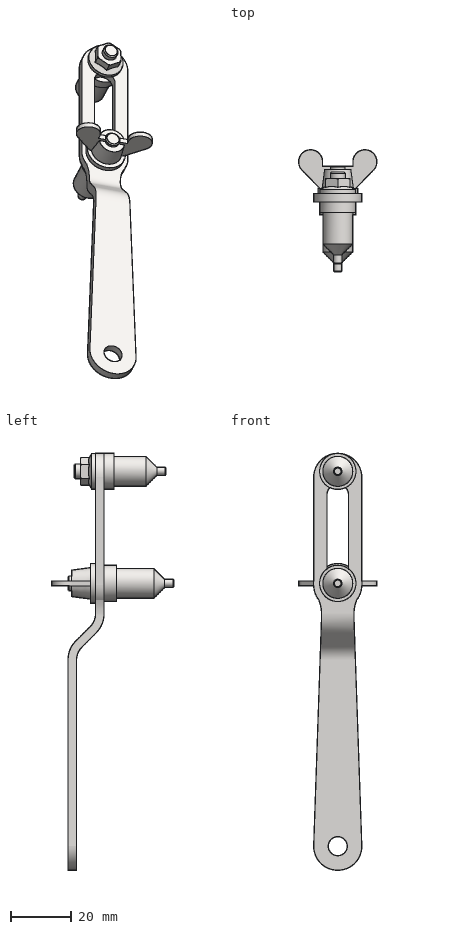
import cadquery as cq
import math


total_height = 138.0
thickness = 2.9
end_radius = 8.0
grip_hole_diameter = 6.2
offset = 9.1
bend_angle = math.radians(45)
bend_inner_radius = 6.0
bend_outer_radius = bend_inner_radius + thickness
bend_top_z = 84.9
waist_half_width = 5.4
waist_z = 84.2
shoulder_arc_z = 94.4
shoulder_z = 89.4
slot_width = 7.0
slot_top_z = 127.8

collar_diameter = 12.0
barrel_diameter = 10.0
tip_diameter = 2.8
tip_length = 3.0
tip_chamfer = 0.3
stud_diameter = 5.0
stud_chamfer = 0.4
cone_length = (barrel_diameter - tip_diameter) / 2

upper_pin_z = total_height - collar_diameter / 2
upper_collar_length = 3.3
upper_barrel_end = 13.8
upper_stud_end = 10.0

lower_pin_z = 94.9
lower_collar_length = 4.1
lower_barrel_end = 16.4
lower_stud_end = 12.0
slot_key_depth = 2.1

nut_height = 5.0
nut_across_flats = 8.0
nut_across_corners = nut_across_flats / math.cos(math.pi / 6)
nut_corner_chamfer = 0.3
flange_diameter = 11.9
flange_rim_height = 1.2
flange_cone_angle = math.radians(30)

washer_diameter = 13.2
washer_thickness = 1.7
wing_hub_base_diameter = 10.5
wing_hub_top_diameter = 8.8
wing_hub_height = 6.2
wing_thickness = 1.7
wing_span = 26.0
wing_height = 12.8
wing_tip_radius = 4.0
wing_root_half_width = 6.0
wing_web_height = 7.3


def cylinder(diameter, z, y_start, y_end):
    """Round bar along Y on the centre plane x = 0."""
    plane = cq.Workplane(cq.Plane((0, y_start, z), (1, 0, 0), (0, 1, 0)))
    return plane.circle(diameter / 2).extrude(y_end - y_start)


def revolve_about_y(profile, z):
    """Turn a closed (radius, y) profile about the Y-parallel axis at height z."""
    outline = cq.Workplane("XY", origin=(0, 0, z)).polyline(profile).close()
    return outline.revolve(360, (0, 0, 0), (0, 1, 0))


def bent_strip():
    """Strip of constant thickness with two opposite bends, at the full handle width."""
    bend_tangents = (bend_inner_radius + bend_outer_radius) * math.tan(bend_angle / 2)
    bend_bottom_z = bend_top_z - bend_tangents - offset / math.tan(bend_angle)

    sin_bend = math.sin(bend_angle)
    cos_bend = math.cos(bend_angle)
    back_y = offset + thickness
    inner_rise = bend_inner_radius * sin_bend
    inner_run = bend_inner_radius * (1 - cos_bend)
    outer_rise = bend_outer_radius * sin_bend
    outer_run = bend_outer_radius * (1 - cos_bend)

    return (
        cq.Workplane("YZ")
        .moveTo(0, total_height)
        .lineTo(0, bend_top_z)
        .tangentArcPoint((outer_run, bend_top_z - outer_rise), relative=False)
        .lineTo(offset - inner_run, bend_bottom_z + inner_rise)
        .tangentArcPoint((offset, bend_bottom_z), relative=False)
        .lineTo(offset, 0)
        .lineTo(back_y, 0)
        .lineTo(back_y, bend_bottom_z)
        .tangentArcPoint((back_y - outer_run, bend_bottom_z + outer_rise), relative=False)
        .lineTo(thickness + inner_run, bend_top_z - inner_rise)
        .tangentArcPoint((thickness, bend_top_z), relative=False)
        .lineTo(thickness, total_height)
        .close()
        .extrude(end_radius, both=True)
    )


def handle_outline():
    """Front outline of the handle, extruded through the depth of both bends."""
    top_arc_z = total_height - end_radius
    shoulder_x = math.sqrt(end_radius**2 - (shoulder_arc_z - shoulder_z)**2)
    shoulder_mid_angle = math.asin((shoulder_arc_z - shoulder_z) / end_radius) / 2
    shoulder_mid_x = end_radius * math.cos(shoulder_mid_angle)
    shoulder_mid_z = shoulder_arc_z - end_radius * math.sin(shoulder_mid_angle)
    half_outline = (
        cq.Workplane("XZ", origin=(0, offset + thickness, 0))
        .moveTo(0, 0)
        .radiusArc((end_radius, end_radius), -end_radius)
        .lineTo(waist_half_width, waist_z)
        .tangentArcPoint((shoulder_x, shoulder_z), relative=False)
        .threePointArc((shoulder_mid_x, shoulder_mid_z), (end_radius, shoulder_arc_z))
        .lineTo(end_radius, top_arc_z)
        .tangentArcPoint((0, total_height), relative=False)
        .close()
        .extrude(offset + thickness)
    )
    return half_outline.union(half_outline.mirror("YZ"))


def slot_cutter(depth):
    """Upright slot reaching back from y = 0, its lower end centred on the lower pin."""
    slot_length = slot_top_z - lower_pin_z + slot_width / 2
    return (
        cq.Workplane("XZ", origin=(0, depth, slot_top_z - slot_length / 2))
        .slot2D(slot_length, slot_width, 90)
        .extrude(depth)
    )


def make_handle():
    pin_hole = cylinder(stud_diameter, upper_pin_z, 0, thickness)
    grip_hole = cylinder(grip_hole_diameter, end_radius, offset, offset + thickness)
    blank = bent_strip().intersect(handle_outline())
    return blank.cut(slot_cutter(thickness)).cut(pin_hole).cut(grip_hole)


def make_pin(z, collar_length, barrel_end, stud_end):
    """Collared pin with a conical nose and tip in front, and a stud through the handle."""
    cone_end = barrel_end + cone_length
    tip_end = cone_end + tip_length
    collar_radius = collar_diameter / 2
    barrel_radius = barrel_diameter / 2
    tip_radius = tip_diameter / 2
    stud_radius = stud_diameter / 2
    return revolve_about_y([
        (0, -tip_end),
        (tip_radius - tip_chamfer, -tip_end),
        (tip_radius, -tip_end + tip_chamfer),
        (tip_radius, -cone_end),
        (barrel_radius, -barrel_end),
        (barrel_radius, -collar_length),
        (collar_radius, -collar_length),
        (collar_radius, 0),
        (stud_radius, 0),
        (stud_radius, stud_end - stud_chamfer),
        (stud_radius - stud_chamfer, stud_end),
        (0, stud_end),
    ], z)


def make_slot_key():
    """Part of the lower pin's collar that continues into the slot."""
    collar = cylinder(collar_diameter, lower_pin_z, 0, slot_key_depth)
    return collar.intersect(slot_cutter(slot_key_depth))


def make_flange_nut():
    """Hexagon nut, corners up and down, on a round flange with a conical top."""
    base_y = thickness
    top_y = base_y + nut_height
    corner_radius = nut_across_corners / 2
    hexagon = (
        cq.Workplane("XZ", origin=(0, top_y, upper_pin_z))
        .transformed(rotate=(0, 0, 90))
        .polygon(6, nut_across_corners)
        .extrude(nut_height)
    )
    corner_trim = revolve_about_y([
        (0, base_y),
        (corner_radius, base_y),
        (corner_radius, top_y - nut_corner_chamfer),
        (corner_radius - nut_corner_chamfer, top_y),
        (0, top_y),
    ], upper_pin_z)
    flange_radius = flange_diameter / 2
    cone_top_radius = nut_across_flats / 2
    rim_y = base_y + flange_rim_height
    cone_top_y = rim_y + (flange_radius - cone_top_radius) * math.tan(flange_cone_angle)
    flange = revolve_about_y([
        (0, base_y),
        (flange_radius, base_y),
        (flange_radius, rim_y),
        (cone_top_radius, cone_top_y),
        (0, cone_top_y),
    ], upper_pin_z)
    bore = cylinder(stud_diameter, upper_pin_z, base_y, top_y)
    return hexagon.intersect(corner_trim).union(flange).cut(bore)


def make_washer():
    washer_top = thickness + washer_thickness
    disc = cylinder(washer_diameter, lower_pin_z, thickness, washer_top)
    return disc.cut(cylinder(stud_diameter, lower_pin_z, thickness, washer_top))


def wing_plate(base_y):
    """Flat plate with two rounded wings joined by a bridge."""
    tip_x = wing_span / 2 - wing_tip_radius
    tip_y = base_y + wing_height - wing_tip_radius

    root_to_tip = math.hypot(tip_x - wing_root_half_width, tip_y - base_y)
    edge_length = math.sqrt(root_to_tip**2 - wing_tip_radius**2)
    edge_angle = (
        math.atan2(tip_y - base_y, tip_x - wing_root_half_width)
        - math.asin(wing_tip_radius / root_to_tip)
    )
    edge_end_x = wing_root_half_width + edge_length * math.cos(edge_angle)
    edge_end_y = base_y + edge_length * math.sin(edge_angle)

    inner_x = tip_x - wing_tip_radius
    web_y = base_y + wing_web_height
    half_plate = (
        cq.Workplane("XY", origin=(0, 0, lower_pin_z))
        .moveTo(0, base_y)
        .lineTo(wing_root_half_width, base_y)
        .lineTo(edge_end_x, edge_end_y)
        .threePointArc((tip_x, tip_y + wing_tip_radius), (inner_x, tip_y))
        .lineTo(inner_x, web_y)
        .lineTo(0, web_y)
        .close()
        .extrude(wing_thickness / 2, both=True)
    )
    return half_plate.union(half_plate.mirror("YZ"))


def make_wing_nut():
    base_y = thickness + washer_thickness
    hub_top = base_y + wing_hub_height
    hub = revolve_about_y([
        (0, base_y),
        (wing_hub_base_diameter / 2, base_y),
        (wing_hub_top_diameter / 2, hub_top),
        (0, hub_top),
    ], lower_pin_z)
    bore = cylinder(stud_diameter, lower_pin_z, base_y, base_y + wing_height)
    return hub.union(wing_plate(base_y)).cut(bore)


handle = make_handle()
flange_nut = make_flange_nut()
washer = make_washer()
wing_nut = make_wing_nut()

upper_pin = make_pin(upper_pin_z, upper_collar_length, upper_barrel_end, upper_stud_end)
lower_pin = make_pin(lower_pin_z, lower_collar_length, lower_barrel_end, lower_stud_end)
lower_pin = lower_pin.union(make_slot_key())

result = cq.Compound.makeCompound([
    handle.val(),
    upper_pin.val(),
    lower_pin.val(),
    flange_nut.val(),
    washer.val(),
    wing_nut.val(),
])